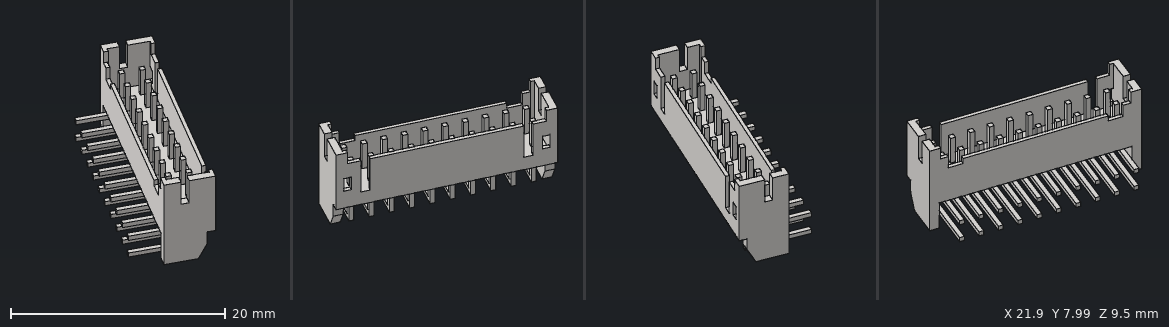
import cadquery as cq

length = 21.9
depth = 5.04
height = 9.5
base_z = 3.0

end_wall = 0.77
back_wall = 0.42
front_wall = 0.4
front_corner_wall = 0.45
floor_z = 4.5

tower_width = 1.14
rim_z = 8.21
front_rim_z = 7.47
notch_z = 6.88

front_notch_start = 1.93
front_notch_end = 3.45
back_notch_start = 2.45
back_notch_end = 3.37

slot_start = 1.66
slot_end = 2.45

window_width = 0.75
window_bottom = 5.02
window_top = 6.5

leg_width = 1.0
leg_back = 4.23
leg_toe = 3.35
leg_bevel_z = 1.62

pins_per_row = 10
pin_size = 0.5
pin_span = 18.0
pitch = pin_span / (pins_per_row - 1)
pin_top_z = 7.42
tail_reach = 2.95
lower_tail_z = 0.5


def box(x_range, y_range, z_range):
    """Axis-aligned block between the given limits."""
    (x0, x1), (y0, y1), (z0, z1) = x_range, y_range, z_range
    return cq.Workplane("XY").box(x1 - x0, y1 - y0, z1 - z0, centered=False).translate((x0, y0, z0))


def both_ends(x_start, x_end):
    """X limits of a feature at the left end and of its mirror image at the right end."""
    return [(x_start, x_end), (length - x_end, length - x_start)]


def make_housing():
    housing = box((0, length), (0, depth), (base_z, height))

    inner_back = depth - back_wall
    housing = housing.cut(
        box((end_wall, length - end_wall), (front_corner_wall, inner_back), (floor_z, height)))
    housing = housing.cut(
        box((tower_width, length - tower_width), (front_wall, inner_back), (floor_z, height)))

    housing = housing.cut(box((tower_width, length - tower_width), (0, depth), (rim_z, height)))
    housing = housing.cut(
        box((front_notch_end, length - front_notch_end), (0, front_wall), (front_rim_z, height)))

    for x_range in both_ends(front_notch_start, front_notch_end):
        housing = housing.cut(box(x_range, (0, front_wall), (notch_z, height)))
    for x_range in both_ends(back_notch_start, back_notch_end):
        housing = housing.cut(box(x_range, (inner_back, depth), (floor_z, height)))
    for x_range in both_ends(end_wall, end_wall + window_width):
        housing = housing.cut(box(x_range, (inner_back, depth), (window_bottom, window_top)))
    for x_range in both_ends(0, end_wall):
        housing = housing.cut(box(x_range, (slot_start, slot_end), (notch_z, height)))
    return housing


def make_leg(x_start):
    profile = [(0, 0), (leg_toe, 0), (leg_back, leg_bevel_z), (leg_back, base_z), (0, base_z)]
    return cq.Workplane("YZ").polyline(profile).close().extrude(leg_width).translate((x_start, 0, 0))


def make_pin(x, y, tail_z):
    """Square pin rising at (x, y), with a square bend to a tail running out of the front."""
    half = pin_size / 2
    sides = (x - half, x + half)
    post = box(sides, (y - half, y + half), (tail_z - half, pin_top_z))
    tail = box(sides, (-tail_reach, y + half), (tail_z - half, tail_z + half))
    return post.union(tail)


result = make_housing()
for leg_x, _ in both_ends(0, leg_width):
    result = result.union(make_leg(leg_x))

front_row_y = (depth - pitch) / 2
for i in range(pins_per_row):
    pin_x = (length - pin_span) / 2 + i * pitch
    result = result.union(make_pin(pin_x, front_row_y, lower_tail_z + pitch))
    result = result.union(make_pin(pin_x, front_row_y + pitch, lower_tail_z))